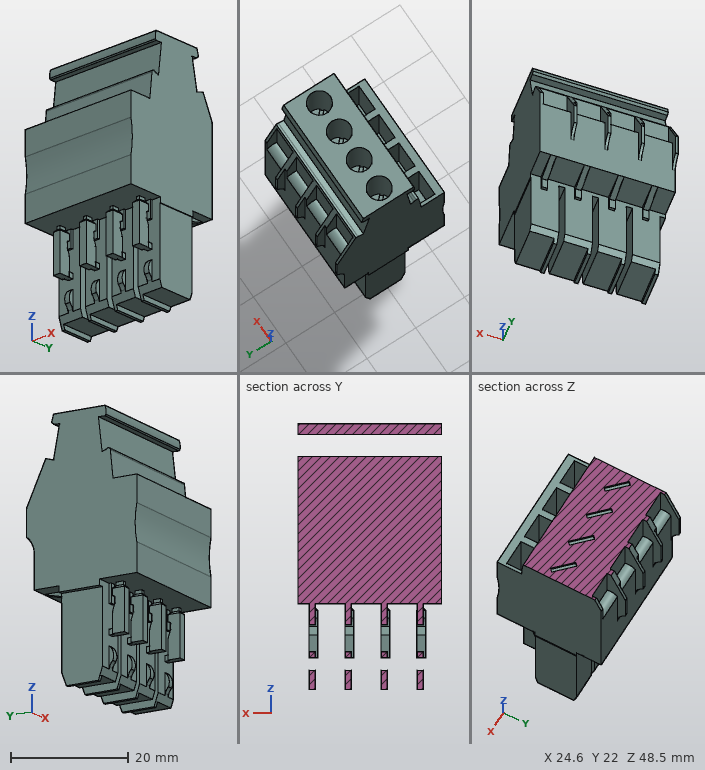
import cadquery as cq

POLES = 4
WIDTH = 24.6
PITCH = WIDTH / POLES

HOUSING_BOTTOM = 17.7
FRONT_BLOCK_TOP = 35.25
FRONT_BLOCK_DEPTH = 4.75
REAR_WALL_Y = 20.45
RIB_Y = 22.0
HEIGHT = 48.5
GRIP_MIDDLE_Z = 26.65
GRIP_HALF_HEIGHT = 3.5
GRIP_DEPTH = 0.35

RIB_THICKNESS = 0.55
RECESS_END_X = 5.58
RECESS_FRONT_Y = 18.4
RECESS_FLOOR_Z = 32.95
RECESS_CREST_Y = 19.5
RECESS_CREST_RISE = 0.1
RECESS_REAR_DROP = 0.5

SOCKET_START_X = 0.65
SOCKET_END_X = 5.58
SOCKET_FRONT_Y = 1.55
SOCKET_DEPTH = 9.7

SCREW_DIAMETER = 4.4
SCREW_Y = 11.35
SCREW_DEPTH = 9.7
SLOT_WIDTH = 0.7
SLOT_DEPTH = 0.6
SLOT_ANGLE = -45.0

TONGUE_START_X = 0.95
TONGUE_END_X = 6.0
TONGUE_FRONT_Y = 7.4
TONGUE_REAR_Y = 15.55
BASE_BOTTOM = 16.6
TAPER_HEIGHT = 2.4
TIP_FRONT_Y = 8.25
TIP_REAR_Y = 14.65
TIP_RIB_WIDTH = 0.65
TIP_STEP = 0.95

CONTACT_START_X = 3.15
CONTACT_END_X = 4.2
CONTACT_FRONT_Y = 7.0
CONTACT_REAR_Y = 16.0
CONTACT_BOTTOM = 14.1
LATCH_START_X = 2.7
LATCH_END_X = 4.25
LATCH_FRONT_Y = 4.1
LATCH_REAR_Y = 6.5
LATCH_NOTCH_Y = 6.0
LATCH_BOTTOM = 8.5
LATCH_ARM_TOP = 9.55
NECK_BOTTOM = 17.05
NECK_START_X = 3.15
NECK_END_X = 3.85
NECK_FRONT_Y = 4.6
NECK_REAR_Y = 6.0
BUMP_FOOT_RISE = 0.35
BUMP_TOP = 6.55


def box(x0, x1, y0, y1, z0, z1):
    """Box between two corners."""
    return cq.Workplane("XY").box(x1 - x0, y1 - y0, z1 - z0, centered=False).translate((x0, y0, z0))


def side_sketch(x):
    """Workplane at position x whose local axes are Y and Z, growing toward +X."""
    return cq.Workplane("YZ", origin=(x, 0, 0))


def housing():
    """Body with the full-depth rear profile across its whole width."""
    return (
        side_sketch(0)
        .moveTo(0, HOUSING_BOTTOM)
        .lineTo(0, GRIP_MIDDLE_Z - GRIP_HALF_HEIGHT)
        .threePointArc((GRIP_DEPTH, GRIP_MIDDLE_Z), (0, GRIP_MIDDLE_Z + GRIP_HALF_HEIGHT))
        .lineTo(0, FRONT_BLOCK_TOP)
        .lineTo(FRONT_BLOCK_DEPTH, FRONT_BLOCK_TOP)
        .lineTo(5.3, 40.4)
        .threePointArc((5.45, 40.7), (5.8, 40.75))
        .lineTo(6.25, 40.55)
        .lineTo(6.95, 40.35)
        .lineTo(7.65, 46.65)
        .lineTo(6.35, 46.6)
        .lineTo(6.15, 46.85)
        .threePointArc((6.15, 47.7), (6.35, HEIGHT))
        .lineTo(16.65, HEIGHT)
        .lineTo(17.0, 47.03)
        .lineTo(16.6, 46.65)
        .lineTo(15.4, 46.6)
        .lineTo(16.65, 40.35)
        .lineTo(17.75, 40.67)
        .lineTo(18.2, 40.75)
        .lineTo(RIB_Y, 32.5)
        .lineTo(RIB_Y, 27.3)
        .threePointArc((20.95, 26.05), (REAR_WALL_Y, 24.35))
        .lineTo(REAR_WALL_Y, HOUSING_BOTTOM)
        .close()
        .extrude(WIDTH)
    )


def rear_cut(x):
    """Space behind one pole that leaves a thin rib standing at the pole's left edge."""
    start = x + RIB_THICKNESS
    behind_wall = box(start, x + PITCH, REAR_WALL_Y, RIB_Y, HOUSING_BOTTOM, HEIGHT)
    recess = (
        side_sketch(start)
        .moveTo(RECESS_FRONT_Y, RECESS_FLOOR_Z)
        .threePointArc(
            (RECESS_CREST_Y, RECESS_FLOOR_Z + RECESS_CREST_RISE),
            (REAR_WALL_Y, RECESS_FLOOR_Z - RECESS_REAR_DROP),
        )
        .lineTo(REAR_WALL_Y, HEIGHT)
        .lineTo(RECESS_FRONT_Y, HEIGHT)
        .close()
        .extrude(RECESS_END_X - RIB_THICKNESS)
    )
    return behind_wall.union(recess)


def wire_socket(x):
    """Rectangular pit in the top of the front block."""
    return box(
        x + SOCKET_START_X,
        x + SOCKET_END_X,
        SOCKET_FRONT_Y,
        FRONT_BLOCK_DEPTH,
        FRONT_BLOCK_TOP - SOCKET_DEPTH,
        FRONT_BLOCK_TOP,
    )


def screw_hole(x):
    """Round shaft with a slotted screw head as its floor."""
    floor = HEIGHT - SCREW_DEPTH
    radius = SCREW_DIAMETER / 2
    shaft = cq.Workplane("XY").circle(radius).extrude(SCREW_DEPTH)
    slot = (
        cq.Workplane("XY", origin=(0, 0, -SLOT_DEPTH))
        .rect(SCREW_DIAMETER, SLOT_WIDTH)
        .extrude(SLOT_DEPTH)
        .rotate((0, 0, 0), (0, 0, 1), SLOT_ANGLE)
        .intersect(cq.Workplane("XY", origin=(0, 0, -SLOT_DEPTH)).circle(radius).extrude(SLOT_DEPTH))
    )
    return shaft.union(slot).translate((x + PITCH / 2, SCREW_Y, floor))


def tongue(x):
    """Plug tongue with a tapered tip; only a narrow rib reaches the lowest point."""
    body = (
        side_sketch(x + TONGUE_START_X)
        .moveTo(TIP_FRONT_Y, 0)
        .lineTo(TONGUE_FRONT_Y, TAPER_HEIGHT)
        .lineTo(TONGUE_FRONT_Y, HOUSING_BOTTOM)
        .lineTo(TONGUE_REAR_Y, HOUSING_BOTTOM)
        .lineTo(TONGUE_REAR_Y, TAPER_HEIGHT)
        .lineTo(TIP_REAR_Y, 0)
        .close()
        .extrude(TONGUE_END_X - TONGUE_START_X)
    )
    rib_end = x + TONGUE_START_X + TIP_RIB_WIDTH
    return body.cut(box(rib_end, x + TONGUE_END_X, TONGUE_FRONT_Y, TONGUE_REAR_Y, 0, TIP_STEP))


def contact(x):
    """Metal contact standing proud of the tongue, with a bracket under the housing behind it."""
    blade = box(
        x + CONTACT_START_X,
        x + CONTACT_END_X,
        CONTACT_FRONT_Y,
        CONTACT_REAR_Y,
        CONTACT_BOTTOM,
        HOUSING_BOTTOM,
    )
    bracket = (
        side_sketch(x + CONTACT_START_X)
        .moveTo(CONTACT_REAR_Y, HOUSING_BOTTOM)
        .lineTo(REAR_WALL_Y, HOUSING_BOTTOM)
        .lineTo(CONTACT_REAR_Y, BASE_BOTTOM)
        .close()
        .extrude(CONTACT_END_X - CONTACT_START_X)
    )
    return blade.union(bracket)


def latch(x):
    """Latch bar in front of the tongue, held by a neck above and an arm at its foot."""
    bar = (
        side_sketch(x + LATCH_START_X)
        .moveTo(LATCH_FRONT_Y, LATCH_BOTTOM)
        .lineTo(LATCH_FRONT_Y, BASE_BOTTOM)
        .lineTo(LATCH_REAR_Y, BASE_BOTTOM)
        .lineTo(LATCH_REAR_Y, 15.25)
        .threePointArc((6.15, 15.15), (LATCH_NOTCH_Y, 14.8))
        .lineTo(LATCH_NOTCH_Y, 13.85)
        .lineTo(LATCH_REAR_Y, 12.4)
        .lineTo(LATCH_REAR_Y, LATCH_BOTTOM)
        .close()
        .extrude(LATCH_END_X - LATCH_START_X)
    )
    neck = box(x + NECK_START_X, x + NECK_END_X, NECK_FRONT_Y, NECK_REAR_Y, NECK_BOTTOM, HOUSING_BOTTOM)
    shoulder = (
        cq.Workplane("XY", origin=(0, 0, BASE_BOTTOM))
        .moveTo(x + (LATCH_START_X + LATCH_END_X) / 2, (LATCH_FRONT_Y + LATCH_REAR_Y) / 2)
        .rect(LATCH_END_X - LATCH_START_X, LATCH_REAR_Y - LATCH_FRONT_Y)
        .workplane(offset=NECK_BOTTOM - BASE_BOTTOM, origin=(0, 0, BASE_BOTTOM))
        .moveTo(x + (NECK_START_X + NECK_END_X) / 2, (NECK_FRONT_Y + NECK_REAR_Y) / 2)
        .rect(NECK_END_X - NECK_START_X, NECK_REAR_Y - NECK_FRONT_Y)
        .loft()
    )
    arm = box(
        x + CONTACT_START_X,
        x + CONTACT_END_X,
        LATCH_REAR_Y,
        TONGUE_FRONT_Y,
        LATCH_BOTTOM,
        LATCH_ARM_TOP,
    )
    return bar.union(shoulder).union(neck).union(arm)


def bump(x):
    """Rounded snap bump low on the front of the tongue, its foot running into the tip taper."""
    taper_slope = (TIP_FRONT_Y - TONGUE_FRONT_Y) / TAPER_HEIGHT
    foot = (TONGUE_FRONT_Y - taper_slope * BUMP_FOOT_RISE, TAPER_HEIGHT + BUMP_FOOT_RISE)
    return (
        side_sketch(x + CONTACT_START_X)
        .moveTo(TONGUE_FRONT_Y, TAPER_HEIGHT)
        .lineTo(*foot)
        .threePointArc((7.1, 3.4), (6.7, 3.9))
        .threePointArc((6.6, 5.3), (TONGUE_FRONT_Y, BUMP_TOP))
        .close()
        .extrude(CONTACT_END_X - CONTACT_START_X)
    )


result = housing()
base_slab = box(0, WIDTH, TONGUE_FRONT_Y, TONGUE_REAR_Y, BASE_BOTTOM, HOUSING_BOTTOM)
result = result.union(base_slab)

for pole in range(POLES):
    pole_x = pole * PITCH
    for cutter in (rear_cut, wire_socket, screw_hole):
        result = result.cut(cutter(pole_x))
    for addition in (tongue, contact, latch, bump):
        result = result.union(addition(pole_x))